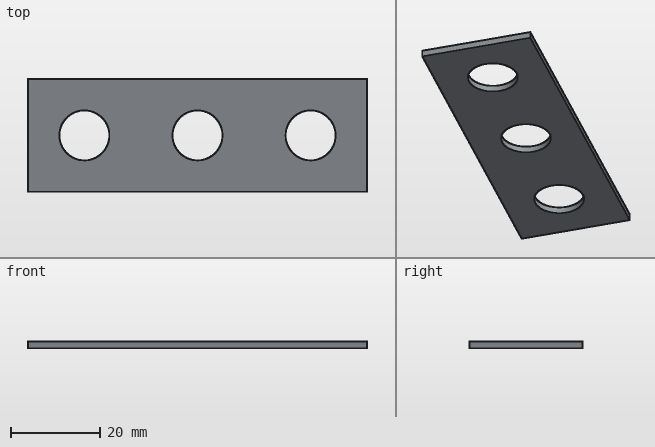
import cadquery as cq

hole_pitch = 25.4
hole_count = 3
hole_diameter = 11.18
plate_thickness = 1.57

plate_length = hole_count * hole_pitch
plate_width = hole_pitch


def make_plate():
    """Flat rectangular plate centred on the origin."""
    return cq.Workplane("XY").box(plate_length, plate_width, plate_thickness)


def cut_holes(plate):
    """Row of evenly spaced through holes along the plate's length."""
    return (
        plate.faces(">Z")
        .workplane()
        .rarray(hole_pitch, plate_width, hole_count, 1)
        .hole(hole_diameter)
    )


result = cut_holes(make_plate())